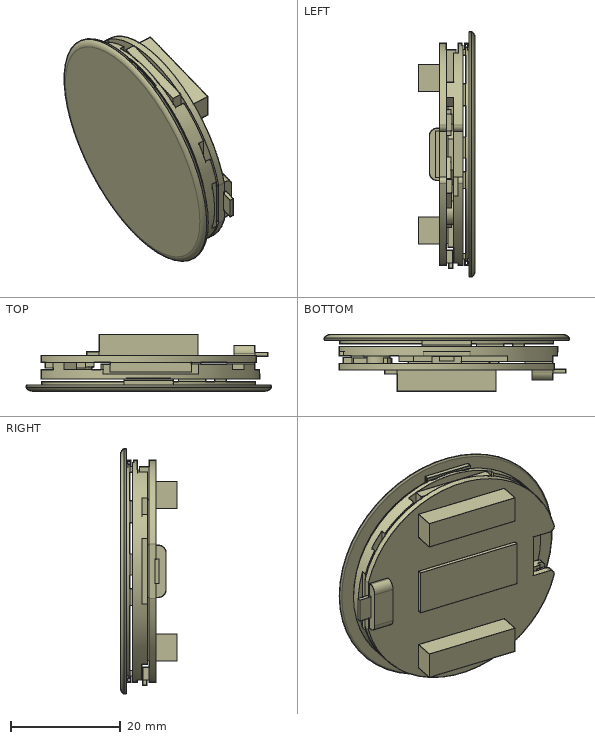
import cadquery as cq

GLASS_RADIUS = 22.5
GLASS_FACE_RADIUS = 21.3
GLASS_BACK = 1.15
GLASS_FRONT_ROUND_END = 0.68
GLASS_BACK_ROUND = 0.25

PANEL_RADIUS = 19.6
PANEL_BACK = 1.75
CLIP_WIDTH = 9.1
CLIP_OUTER_Z = 20.4
CLIP_INNER_Z = 18.15
CLIP_SHEET = 0.22
CLIP_BACK = PANEL_BACK + CLIP_SHEET
CLIP_PAD_TOP_Z = 19.2

BOARD_RADIUS = 20.4
FRAME_FRONT = 2.2
FRAME_BASE_BACK = 3.95
FRAME_RAISED_BACK = 5.0
BOARD_FRONT = 5.3
BOARD_BACK = 6.55
BOARD_FLAT_X = 19.75

NOTCH_HALF_HEIGHT = 4.15
NOTCH_FLOOR_X = -15.3
NOTCH_CORNER_RADIUS = 1.0

RAISED_LEFT_X = -6.05
RAISED_RIGHT_X = 19.5
RAISED_BOTTOM_Z = -17.05
NOSE_X = -8.78
NOSE_HALF_HEIGHT = 2.85
NOSE_ROOT_HALF_HEIGHT = 5.6

SEAT_LEFT_X = -8.32
SEAT_RIGHT_X = 9.2
SEAT_SHOULDER_Z = 10.8
SEAT_FRONT = 3.15
RIBBON_LEFT_X = -7.05
RIBBON_RIGHT_X = 7.85
RIBBON_BOTTOM_Z = 13.25
RIBBON_TOP_Z = 19.15
RIBBON_FRONT = 3.5

POST_ANGLE = 144.4
POST_WIDTH = 3.38
POST_DEPTH = 2.92
BOSS_RADIUS = 2.1
BOSS_X = -12.5
BOSS_Z = -10.7

SIDE_POCKET_X = -18.22
SIDE_POCKET_TOP_Z = -4.15
SIDE_POCKET_BOTTOM_Z = -7.65
RIM_SLOT_LEFT_X = 15.35
RIM_SLOT_RIGHT_X = 17.5
RIM_SLOT_FLOOR_Z = 8.1
CLIP_RELIEF_Z = 20.0
CLIP_RELIEF_BACK = 2.45
BOTTOM_FLAT_Z = -19.95

WIDE_PAD_X = (5.45, 10.5)
WIDE_PAD_Z = (8.85, 12.95)
NARROW_PAD_X = (12.1, 14.25)
MIDDLE_PAD_Z = (-0.7, 3.2)
LOWER_PAD_Z = (-6.3, -3.2)

CHIP_FRONT = 4.45
BUTTON_X = (-13.2, -11.55)
BUTTON_Z = (4.28, 7.4)
BUTTON_FRONT = 4.28
BUTTON_BASE_X = (-11.6, -10.0)
BUTTON_BASE_Z = (3.4, 8.2)
SIDE_PORT_X = (-19.0, -17.32)
SIDE_PORT_Z = (-7.05, -4.6)
SIDE_PORT_FRONT = 4.25
STRIP_X = (7.88, 9.6)
STRIP_Z = (-16.4, 13.05)
SOCKET_PAD_LEFT_X = 14.35
SWITCH_X = (-2.7, 2.7)
SWITCH_TOP_Z = -17.55
SWITCH_FRONT = 4.1
PLUNGER_X = (-1.35, 1.35)
PLUNGER_END_Z = -20.92
PLUNGER_BACK = 4.85

CHIP_TILT = 45
UPPER_CHIP_LENGTH = 5.6
UPPER_CHIP_THICKNESS = 1.35
UPPER_CHIP_PLACE = (-12.4, -2.92)
LOWER_CHIP_LENGTH = 8.8
LOWER_CHIP_THICKNESS = 0.9
LOWER_CHIP_FRONT = 4.3
LOWER_CHIP_PLACE = (-13.65, -9.95)

HEADER_HALF_LENGTH = 9.1
HEADER_INNER_Z = 11.48
HEADER_OUTER_Z = 16.45
TOTAL_DEPTH = 10.45

MODULE_LEFT_X = -11.4
MODULE_HALF_HEIGHT = 4.28
MODULE_BACK = 7.3

SOCKET_LEFT_X = 15.6
SOCKET_RIGHT_X = 19.5
SOCKET_HALF_HEIGHT = 4.8
SOCKET_BACK = 8.4
SOCKET_ROUND = 1.5
TONGUE_HALF_HEIGHT = 2.25
TONGUE_RIGHT_X = 21.85
TONGUE_FRONT = 6.4
TONGUE_BACK = 7.1

PAST_RIM = 27.0

PICK_MARGIN = 0.45


def block(x_range, y_range, z_range):
    """Box between the given limits on each axis."""
    lows, highs = zip(x_range, y_range, z_range)
    size = [high - low for low, high in zip(lows, highs)]
    return cq.Workplane("XY").box(*size, centered=False).translate(lows)


def plan_plane(y):
    """Workplane across the Y axis; local x and y are global X and Z, extrusion runs to +Y."""
    plane = cq.Plane(origin=(0, y, 0), xDir=(1, 0, 0), normal=(0, -1, 0))
    return cq.Workplane(plane)


def disc(radius, y_front, y_back):
    return plan_plane(y_front).circle(radius).extrude(y_front - y_back)


def notched_disc(y_front, y_back):
    """Round plate with the rounded notch in its left edge."""
    notch = block(
        (-PAST_RIM, NOTCH_FLOOR_X), (y_front, y_back), (-NOTCH_HALF_HEIGHT, NOTCH_HALF_HEIGHT)
    )
    mouth = cq.selectors.BoxSelector(
        (-PAST_RIM, y_front - PICK_MARGIN, -NOTCH_HALF_HEIGHT - PICK_MARGIN),
        (NOTCH_FLOOR_X - PICK_MARGIN, y_back + PICK_MARGIN, NOTCH_HALF_HEIGHT + PICK_MARGIN),
    )
    plate = disc(BOARD_RADIUS, y_front, y_back).cut(notch)
    return plate.edges("|Y").edges(mouth).fillet(NOTCH_CORNER_RADIUS)


def make_glass():
    """Cover disc, turned about the Y axis, with a rounded rim."""
    back_radius = GLASS_RADIUS - GLASS_BACK_ROUND
    profile = (
        cq.Workplane("XY")
        .lineTo(GLASS_FACE_RADIUS, 0)
        .tangentArcPoint((GLASS_RADIUS, GLASS_FRONT_ROUND_END), relative=False)
        .lineTo(GLASS_RADIUS, GLASS_BACK - GLASS_BACK_ROUND)
        .tangentArcPoint((back_radius, GLASS_BACK), relative=False)
        .lineTo(0, GLASS_BACK)
        .close()
    )
    return profile.revolve(360, (0, 0, 0), (0, 1, 0))


def make_clip():
    """Top clip: a sheet folded round the edge of the panel, with a pad on its back leg."""
    width = (-CLIP_WIDTH / 2, CLIP_WIDTH / 2)
    edge = block(width, (GLASS_BACK, CLIP_BACK), (CLIP_OUTER_Z - CLIP_SHEET, CLIP_OUTER_Z))
    back_leg = block(width, (PANEL_BACK, CLIP_BACK), (CLIP_INNER_Z, CLIP_OUTER_Z))
    front_leg = block(width, (GLASS_BACK, GLASS_BACK + CLIP_SHEET), (CLIP_INNER_Z, CLIP_OUTER_Z))
    pad = block(width, (CLIP_BACK, FRAME_FRONT), (CLIP_INNER_Z, CLIP_PAD_TOP_Z))
    return edge.union(back_leg).union(front_leg).union(pad)


def make_panel():
    clip = make_clip()
    panel = disc(PANEL_RADIUS, GLASS_BACK, PANEL_BACK)
    return panel.union(clip).union(clip.mirror("XY"))


def make_raised_region():
    """Thicker right part of the frame, trimmed to the round rim."""
    outline = [
        (RAISED_LEFT_X, RAISED_BOTTOM_Z),
        (RAISED_RIGHT_X, RAISED_BOTTOM_Z),
        (RAISED_RIGHT_X, BOARD_RADIUS),
        (SEAT_LEFT_X, BOARD_RADIUS),
        (SEAT_LEFT_X, SEAT_SHOULDER_Z),
        (RAISED_LEFT_X, SEAT_SHOULDER_Z),
        (RAISED_LEFT_X, NOSE_ROOT_HALF_HEIGHT),
        (NOSE_X, NOSE_HALF_HEIGHT),
        (NOSE_X, -NOSE_HALF_HEIGHT),
        (RAISED_LEFT_X, -NOSE_ROOT_HALF_HEIGHT),
    ]
    depth = FRAME_RAISED_BACK - FRAME_BASE_BACK
    region = plan_plane(FRAME_BASE_BACK).polyline(outline).close().extrude(-depth)
    return region.intersect(disc(BOARD_RADIUS, FRAME_BASE_BACK, FRAME_RAISED_BACK))


def make_post():
    """Radial post whose outer face follows the rim."""
    post = block(
        (BOARD_RADIUS - POST_DEPTH, PAST_RIM),
        (FRAME_BASE_BACK, BOARD_FRONT),
        (-POST_WIDTH / 2, POST_WIDTH / 2),
    ).rotate((0, 0, 0), (0, 1, 0), -POST_ANGLE)
    return post.intersect(disc(BOARD_RADIUS, FRAME_BASE_BACK, BOARD_FRONT))


def make_spacer_pads():
    """Pads in the gap between the panel and the frame."""
    gap = (PANEL_BACK, FRAME_FRONT)
    upper = block(WIDE_PAD_X, gap, WIDE_PAD_Z)
    middle = block(NARROW_PAD_X, gap, MIDDLE_PAD_Z)
    lower = block(NARROW_PAD_X, gap, LOWER_PAD_Z)
    return [upper, middle, lower]


def make_frame():
    frame = notched_disc(FRAME_FRONT, FRAME_BASE_BACK).union(make_raised_region())
    seat = block((SEAT_LEFT_X, SEAT_RIGHT_X), (SEAT_FRONT, BOARD_FRONT), (RIBBON_BOTTOM_Z, PAST_RIM))
    side_pocket = block(
        (-PAST_RIM, SIDE_POCKET_X),
        (SEAT_FRONT, FRAME_BASE_BACK),
        (SIDE_POCKET_BOTTOM_Z, SIDE_POCKET_TOP_Z),
    )
    rim_slot = block(
        (RIM_SLOT_LEFT_X, RIM_SLOT_RIGHT_X),
        (FRAME_BASE_BACK, FRAME_RAISED_BACK),
        (RIM_SLOT_FLOOR_Z, PAST_RIM),
    )
    clip_relief = block(
        (-PAST_RIM, PAST_RIM), (FRAME_FRONT, CLIP_RELIEF_BACK), (CLIP_RELIEF_Z, PAST_RIM)
    )
    bottom_flat = block(
        (-PAST_RIM, PAST_RIM), (SEAT_FRONT, FRAME_BASE_BACK), (-PAST_RIM, BOTTOM_FLAT_Z)
    )
    for cutter in (seat, side_pocket, rim_slot, clip_relief, bottom_flat):
        frame = frame.cut(cutter)
    for part in (make_post(), *make_spacer_pads()):
        frame = frame.union(part)
    return frame


def make_boss():
    return disc(BOSS_RADIUS, FRAME_BASE_BACK, BOARD_FRONT).translate((BOSS_X, 0, BOSS_Z))


def make_tilted_chip(length, thickness, front, angle, place):
    """Upright chip turned about the Y axis and centred at the given X and Z."""
    chip = block(
        (-length / 2, length / 2), (front, BOARD_FRONT), (-thickness / 2, thickness / 2)
    )
    x, z = place
    return chip.rotate((0, 0, 0), (0, 1, 0), angle).translate((x, 0, z))


def make_bottom_switch():
    """Switch whose plunger stands out past the bottom of the rim."""
    body = block(SWITCH_X, (SWITCH_FRONT, BOARD_FRONT), (BOTTOM_FLAT_Z, SWITCH_TOP_Z))
    plunger = block(PLUNGER_X, (SWITCH_FRONT, PLUNGER_BACK), (PLUNGER_END_Z, BOTTOM_FLAT_Z))
    return body.union(plunger)


def make_board_components():
    """Small parts soldered to the front of the board."""
    socket_span = (-SOCKET_HALF_HEIGHT, SOCKET_HALF_HEIGHT)
    behind_frame = (FRAME_RAISED_BACK, BOARD_FRONT)
    return [
        block(BUTTON_X, (BUTTON_FRONT, BOARD_FRONT), BUTTON_Z),
        block(BUTTON_BASE_X, (CHIP_FRONT, BOARD_FRONT), BUTTON_BASE_Z),
        block(SIDE_PORT_X, (SIDE_PORT_FRONT, BOARD_FRONT), SIDE_PORT_Z),
        block(STRIP_X, behind_frame, STRIP_Z),
        block((SOCKET_PAD_LEFT_X, RAISED_RIGHT_X), behind_frame, socket_span),
        make_tilted_chip(
            UPPER_CHIP_LENGTH, UPPER_CHIP_THICKNESS, CHIP_FRONT, -CHIP_TILT, UPPER_CHIP_PLACE
        ),
        make_tilted_chip(
            LOWER_CHIP_LENGTH, LOWER_CHIP_THICKNESS, LOWER_CHIP_FRONT, CHIP_TILT, LOWER_CHIP_PLACE
        ),
        make_bottom_switch(),
        make_boss(),
    ]


def make_board():
    board = notched_disc(BOARD_FRONT, BOARD_BACK)
    board = board.cut(
        block((BOARD_FLAT_X, PAST_RIM), (BOARD_FRONT, BOARD_BACK), (-PAST_RIM, PAST_RIM))
    )
    for component in make_board_components():
        board = board.union(component)
    return board


def make_ribbon_connector():
    return block(
        (RIBBON_LEFT_X, RIBBON_RIGHT_X), (RIBBON_FRONT, BOARD_FRONT), (RIBBON_BOTTOM_Z, RIBBON_TOP_Z)
    )


def make_header(low_z):
    height = HEADER_OUTER_Z - HEADER_INNER_Z
    return block(
        (-HEADER_HALF_LENGTH, HEADER_HALF_LENGTH), (BOARD_BACK, TOTAL_DEPTH), (low_z, low_z + height)
    )


def make_module():
    return block(
        (MODULE_LEFT_X, HEADER_HALF_LENGTH),
        (BOARD_BACK, MODULE_BACK),
        (-MODULE_HALF_HEIGHT, MODULE_HALF_HEIGHT),
    )


def make_socket():
    """Shell with rounded back corners and a tongue that drops past the edge of the board."""
    shell = block(
        (SOCKET_LEFT_X, SOCKET_RIGHT_X),
        (BOARD_BACK, SOCKET_BACK),
        (-SOCKET_HALF_HEIGHT, SOCKET_HALF_HEIGHT),
    )
    shell = shell.faces(">Y").edges("|X").fillet(SOCKET_ROUND)
    height = (-TONGUE_HALF_HEIGHT, TONGUE_HALF_HEIGHT)
    root = block((SOCKET_RIGHT_X, BOARD_FLAT_X), (BOARD_BACK, TONGUE_BACK), height)
    tongue = block((BOARD_FLAT_X, TONGUE_RIGHT_X), (TONGUE_FRONT, TONGUE_BACK), height)
    return shell.union(root).union(tongue)


glass = make_glass()
panel = make_panel()
frame = make_frame()
board = make_board()
ribbon_connector = make_ribbon_connector()
headers = [make_header(low_z) for low_z in (HEADER_INNER_Z, -HEADER_OUTER_Z)]
module = make_module()
socket = make_socket()

bodies = [glass, panel, frame, board, ribbon_connector, *headers, module, socket]
result = cq.Compound.makeCompound([body.solids().val() for body in bodies])